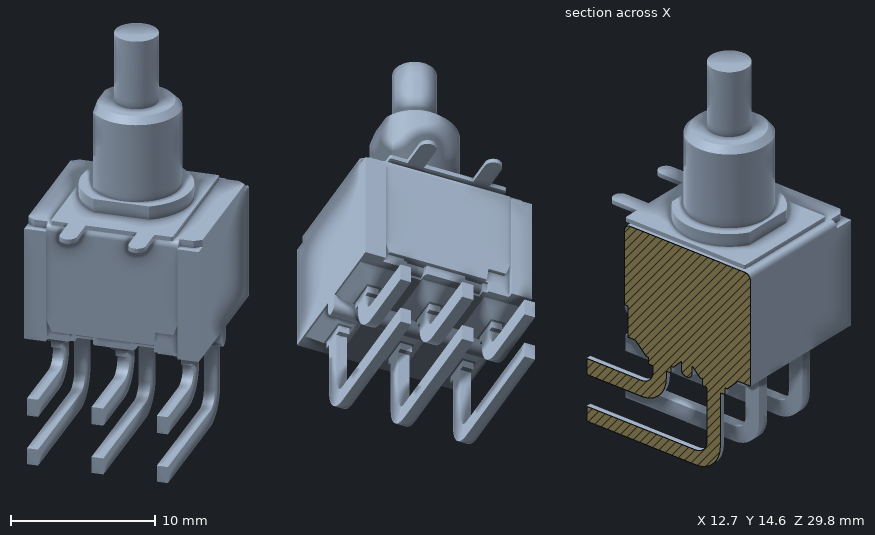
import cadquery as cq

housing_width = 12.7
housing_depth = 11.45
housing_height = 8.93
half_width = housing_width / 2
half_depth = housing_depth / 2
core_width = 9.6
shoulder = 0.55
wall_height = housing_height - shoulder
cover_corner_x = 0.55
cover_corner_y = 0.4

panel_setback = 0.15
panel_thickness = 0.3
base_front = -half_depth + panel_setback + panel_thickness
panel_left_corner_x = -4.4
panel_left_height = 1.65
panel_step_x = 2.98
panel_step_slant = 0.12
panel_step_height = 1.73
panel_right_corner_x = 4.45
panel_right_height = 2.7
notch_inner_x = 1.45
notch_outer_x = 3.22
notch_height = 0.75
notch_depth = 0.18
recess_inner_x = 1.55
recess_outer_x = 2.9
recess_depth = 0.35
recess_round_top = 0.63
recess_round_radius = 0.45

plate_width = 8.87
plate_back = 5.0
plate_front = -5.7
plate_thickness = 0.33
plate_corner = 0.15
tab_width = 1.25
tab_offset = 2.5
tab_tip = -8.28

washer_diameter = 8.0
washer_across_flats = 6.9
washer_thickness = 1.0
bushing_diameter = 6.35
bushing_height = 6.35
bushing_chamfer = 0.48
bushing_flat_x = -2.55
plunger_diameter = 3.1
plunger_top = 21.77
overall_height = 29.78

rib_thickness = 1.0
rib_drop = 1.3

row_offset = 2.4
terminal_span = 9.45
terminal_pitch = terminal_span / 2
side_pin_width = 0.8
middle_pin_width = 0.85
leg_thickness = 1.22
overall_depth = 14.62
pin_tip = half_depth - overall_depth
long_pin_bottom = plunger_top - overall_height
long_arm_thickness = 1.22
short_pin_bottom = -4.3
short_arm_thickness = 1.3
inner_bend = 1.0
outer_bend = inner_bend + leg_thickness
seal_height = 0.95
seal_width = 2.98
seal_depth = 4.35
collar_bottom = -1.5
collar_depth = 2.03


def block(x_min, x_max, y_min, y_max, z_min, z_max):
    """Box given by its limits on the three axes."""
    return (
        cq.Workplane("XY")
        .box(x_max - x_min, y_max - y_min, z_max - z_min, centered=False)
        .translate((x_min, y_min, z_min))
    )


def make_core():
    """Middle of the housing, with rounded top edges and a set-back front."""
    panel_face = -half_depth + panel_setback
    core = block(-core_width / 2, core_width / 2, panel_face, half_depth, 0, housing_height)
    core = core.faces(">Z").edges("|X").fillet(shoulder)

    base_recess = (
        cq.Workplane("XZ", origin=(0, base_front, 0))
        .moveTo(-core_width / 2, 0)
        .lineTo(-core_width / 2, panel_left_height)
        .lineTo(panel_left_corner_x, notch_height)
        .lineTo(panel_step_x, notch_height)
        .lineTo(panel_step_x + panel_step_slant, panel_step_height)
        .lineTo(panel_right_corner_x, panel_step_height)
        .lineTo(core_width / 2, panel_right_height)
        .lineTo(core_width / 2, 0)
        .close()
        .extrude(panel_thickness)
    )
    core = core.cut(base_recess)

    notch_back = base_front + notch_depth
    round_start = base_front + recess_depth
    recess_back = round_start + recess_round_radius
    recess_profile = (
        cq.Workplane("YZ")
        .moveTo(base_front, 0)
        .lineTo(base_front, notch_height)
        .lineTo(round_start, notch_height)
        .lineTo(round_start, recess_round_top)
        .radiusArc((recess_back, recess_round_top - recess_round_radius), -recess_round_radius)
        .lineTo(recess_back, 0)
        .close()
    )
    recess = recess_profile.extrude(recess_outer_x - recess_inner_x)
    notch = block(0, notch_outer_x - notch_inner_x, base_front, notch_back, 0, notch_height)
    core = core.cut(notch.translate((-notch_outer_x, 0, 0)))
    core = core.cut(notch.translate((notch_inner_x, 0, 0)))
    core = core.cut(recess.translate((-recess_outer_x, 0, 0)))
    core = core.cut(recess.translate((recess_inner_x, 0, 0)))
    return core


def make_side_wall(side):
    """Side wall with a raised cover strip whose outer corners are cut off."""
    inner_x = side * core_width / 2
    outer_x = side * half_width
    wall = block(
        min(inner_x, outer_x), max(inner_x, outer_x),
        -half_depth, half_depth, 0, wall_height,
    )
    cover_y = half_depth - shoulder
    corner_x = outer_x - side * cover_corner_x
    corner_y = cover_y - cover_corner_y
    cover = (
        cq.Workplane("XY", origin=(0, 0, wall_height))
        .polyline([
            (inner_x, -cover_y),
            (corner_x, -cover_y),
            (outer_x, -corner_y),
            (outer_x, corner_y),
            (corner_x, cover_y),
            (inner_x, cover_y),
        ])
        .close()
        .extrude(shoulder)
    )
    return wall.union(cover)


def make_mounting_plate():
    """Thin plate on the housing; its tabs reach forward with round tips."""
    plate_top = housing_height + plate_thickness
    plate = block(
        -plate_width / 2, plate_width / 2,
        plate_front, plate_back, housing_height, plate_top,
    )
    plate = plate.edges("|Z").fillet(plate_corner)
    tip_center = tab_tip + tab_width / 2
    for tab_x in (-tab_offset, tab_offset):
        tab = block(
            tab_x - tab_width / 2, tab_x + tab_width / 2,
            tip_center, 0, housing_height, plate_top,
        )
        tip = (
            cq.Workplane("XY", origin=(tab_x, tip_center, housing_height))
            .circle(tab_width / 2)
            .extrude(plate_thickness)
        )
        plate = plate.union(tab).union(tip)
    return plate


def make_actuator():
    """Flatted washer, bushing with a key flat, and the plunger."""
    washer_bottom = housing_height + plate_thickness
    bushing_bottom = washer_bottom + washer_thickness
    bushing_top = bushing_bottom + bushing_height
    half_flats = washer_across_flats / 2

    washer = (
        cq.Workplane("XY", origin=(0, 0, washer_bottom))
        .circle(washer_diameter / 2)
        .extrude(washer_thickness)
        .intersect(block(
            -washer_diameter, washer_diameter,
            -half_flats, half_flats, washer_bottom, bushing_bottom,
        ))
    )
    bushing = (
        cq.Workplane("XY", origin=(0, 0, bushing_bottom))
        .circle(bushing_diameter / 2)
        .extrude(bushing_height)
        .faces(">Z")
        .chamfer(bushing_chamfer)
        .intersect(block(
            bushing_flat_x, bushing_diameter,
            -bushing_diameter, bushing_diameter, bushing_bottom, bushing_top,
        ))
    )
    plunger = (
        cq.Workplane("XY", origin=(0, 0, bushing_bottom))
        .circle(plunger_diameter / 2)
        .extrude(plunger_top - bushing_bottom)
    )
    return washer.union(bushing).union(plunger)


def make_rib():
    """Rib across the underside between the terminal rows, round along its edge."""
    radius = rib_thickness / 2
    straight_end = radius - rib_drop
    return (
        cq.Workplane("YZ", origin=(-half_width, 0, 0))
        .moveTo(-radius, 0)
        .lineTo(-radius, straight_end)
        .threePointArc((0, -rib_drop), (radius, straight_end))
        .lineTo(radius, 0)
        .close()
        .extrude(housing_width)
    )


def make_terminal(x, y, width, bottom, arm_thickness):
    """Pyramid seal, collar and a pin bent forward at a right angle."""
    seal = (
        cq.Workplane("XY", origin=(x, y, 0))
        .rect(seal_width, seal_depth)
        .workplane(offset=-seal_height)
        .rect(seal_width - 2 * seal_height, seal_depth - 2 * seal_height)
        .loft(ruled=True)
    )
    left = x - width / 2
    right = x + width / 2
    collar = block(
        left, right, y - collar_depth / 2, y + collar_depth / 2, collar_bottom, -seal_height,
    )

    leg_back = y + leg_thickness / 2
    leg_front = y - leg_thickness / 2
    arm_top = bottom + arm_thickness
    pin = (
        cq.Workplane("YZ", origin=(left, 0, 0))
        .moveTo(leg_back, -seal_height)
        .lineTo(leg_back, bottom + outer_bend)
        .radiusArc((leg_back - outer_bend, bottom), outer_bend)
        .lineTo(pin_tip, bottom)
        .lineTo(pin_tip, arm_top)
        .lineTo(leg_front - inner_bend, arm_top)
        .radiusArc((leg_front, arm_top + inner_bend), -inner_bend)
        .lineTo(leg_front, -seal_height)
        .close()
        .extrude(width)
    )
    return seal.union(collar).union(pin)


result = make_core()
for wall_side in (-1, 1):
    result = result.union(make_side_wall(wall_side))
result = result.union(make_mounting_plate())
result = result.union(make_actuator())
result = result.union(make_rib())

for column in (-1, 0, 1):
    pin_x = column * terminal_pitch
    pin_width = middle_pin_width if column == 0 else side_pin_width
    back_terminal = make_terminal(
        pin_x, row_offset, pin_width, long_pin_bottom, long_arm_thickness,
    )
    front_terminal = make_terminal(
        pin_x, -row_offset, pin_width, short_pin_bottom, short_arm_thickness,
    )
    result = result.union(back_terminal).union(front_terminal)